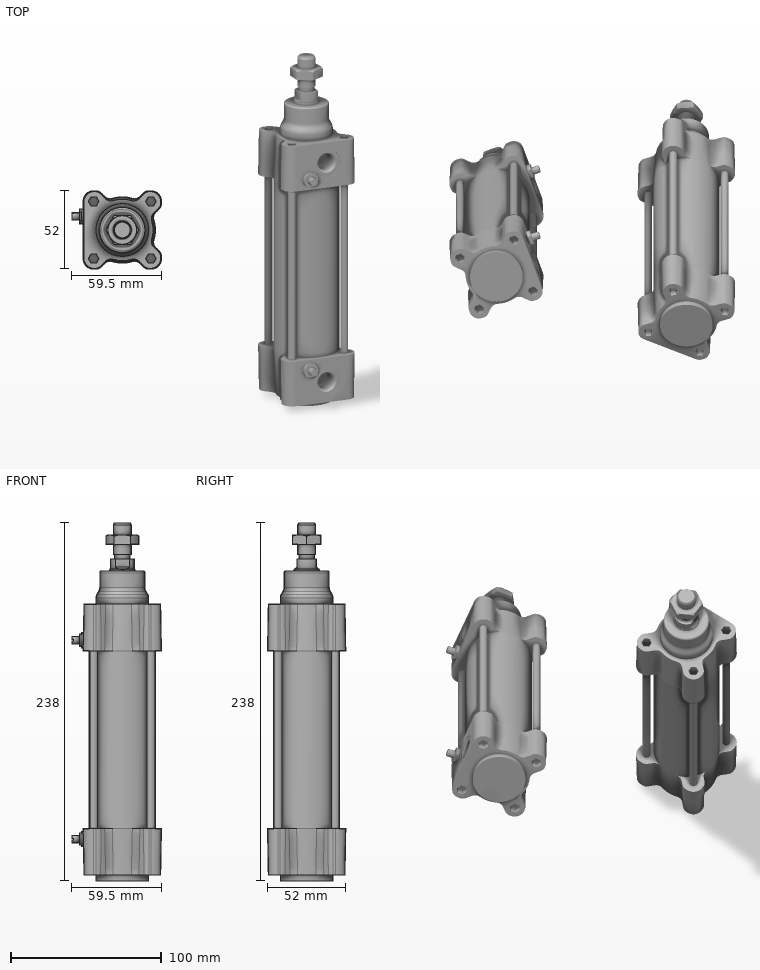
import cadquery as cq
import math


spigot_height = 4.0
cap_height = 31.0
tube_length = 118.0
collar_length = 22.0
rod_tip_z = 238.0
rear_cap_outer_z = spigot_height
rear_cap_inner_z = rear_cap_outer_z + cap_height
front_cap_inner_z = rear_cap_inner_z + tube_length
front_cap_outer_z = front_cap_inner_z + cap_height
collar_top_z = front_cap_outer_z + collar_length

tie_rod_offset = 19.0
cap_half_width = 26.0
cap_draft = 1.0
draft_growth = cap_height * math.tan(math.radians(cap_draft))
cap_outer_half = cap_half_width - draft_growth
lobe_outer_radius = 4.5
lobe_flat = 1.4
waist_fillet = 5.0
drum_outer_radius = 20.4
diagonal = math.sqrt(0.5)

tube_diameter = 44.0
tie_rod_diameter = 5.2
spigot_diameter = 35.0
socket_across_flats = 6.0
socket_depth = 10.0

collar_diameter = 30.0
collar_base_height = 4.0
collar_blend_radius = 5.0
collar_blend_angle = math.radians(30.0)
collar_edge_fillet = 1.2
wiper_lip_base_diameter = 17.2
wiper_lip_tip_diameter = 16.4
wiper_lip_height = 1.2

port_y = -3.5
port_from_outer_face = 14.0
port_diameter = 11.4
port_mouth_diameter = 13.8
port_mouth_depth = 1.2
port_depth = 14.0
spot_face_diameter = 19.0
spot_face_x = -25.3

screw_y = 9.0
screw_from_inner_face = 7.0
screw_tip_x = -33.5
screw_diameter = 5.0
screw_collar_diameter = 10.0
screw_collar_x = -28.5
screw_flats_x = -27.0
screw_across_flats = 8.2
screw_root_x = -24.0
screw_slot_width = 1.0
screw_slot_depth = 1.0

rod_diameter = 16.0
rod_shoulder_z = 214.0
rod_flats = 13.0
rod_flats_bottom_z = 208.6
rod_flats_runout = 1.8
neck_diameter = 10.5
thread_start_z = 217.0
thread_diameter = 12.0
thread_chamfer_height = 1.5
thread_tip_diameter = 10.5

nut_across_flats = 19.0
nut_height = 6.4
nut_bottom_z = 223.6
nut_chamfer_angle = math.radians(30.0)


def cylinder_z(diameter, bottom_z, top_z):
    return cq.Workplane("XY", origin=(0, 0, bottom_z)).circle(diameter / 2).extrude(top_z - bottom_z)


def cylinder_x(diameter, start_x, end_x, y, z):
    return cq.Workplane("YZ", origin=(start_x, y, z)).circle(diameter / 2).extrude(end_x - start_x)


def across_corners(across_flats):
    """Corner diameter of a hexagon with the given width across flats."""
    return across_flats / math.cos(math.pi / 6)


def draw_cap_outline(sketch, half, lobe_radius, drum_radius):
    """Draw a cap section: lobed corners, three waisted sides and a flat -X side.

    Each waisted side is an arc around the Z axis, joined by concave fillets to the 45 degree
    flanks of the corner lobes.
    """
    corner = tie_rod_offset
    corner_mid = corner + (half - corner) * diagonal

    flat_end = corner - lobe_flat
    shoulder_centre = half - lobe_radius
    shoulder_mid_along = flat_end - lobe_radius * math.sin(math.pi / 8)
    shoulder_mid_out = shoulder_centre + lobe_radius * math.cos(math.pi / 8)
    flank_along = flat_end - lobe_radius * diagonal
    flank_out = shoulder_centre + lobe_radius * diagonal

    centre_lead = flank_out - flank_along + waist_fillet / diagonal
    centre_distance = drum_radius + waist_fillet
    centre_along = (math.sqrt(2 * centre_distance**2 - centre_lead**2) - centre_lead) / 2
    centre_out = centre_along + centre_lead
    root_along = centre_along + waist_fillet * diagonal
    root_out = centre_out - waist_fillet * diagonal
    drum_along = centre_along * drum_radius / centre_distance
    drum_out = centre_out * drum_radius / centre_distance
    fillet_mid_angle = (math.atan2(-centre_out, -centre_along) - math.pi / 4) / 2
    fillet_mid_along = centre_along + waist_fillet * math.cos(fillet_mid_angle)
    fillet_mid_out = centre_out + waist_fillet * math.sin(fillet_mid_angle)

    def waisted_side(path, turn):
        """Add one waisted side; turn maps (along, outward) to the plane."""
        path = path.lineTo(*turn(-flat_end, half))
        path = path.threePointArc(turn(-shoulder_mid_along, shoulder_mid_out), turn(-flank_along, flank_out))
        path = path.lineTo(*turn(-root_along, root_out))
        path = path.threePointArc(turn(-fillet_mid_along, fillet_mid_out), turn(-drum_along, drum_out))
        path = path.threePointArc(turn(0, drum_radius), turn(drum_along, drum_out))
        path = path.threePointArc(turn(fillet_mid_along, fillet_mid_out), turn(root_along, root_out))
        path = path.lineTo(*turn(flank_along, flank_out))
        path = path.threePointArc(turn(shoulder_mid_along, shoulder_mid_out), turn(flat_end, half))
        path = path.lineTo(*turn(corner, half))
        return path.threePointArc(turn(corner_mid, corner_mid), turn(half, corner))

    path = sketch.moveTo(-half, -corner)
    path = path.threePointArc((-corner_mid, -corner_mid), (-corner, -half))
    path = waisted_side(path, lambda along, out: (along, -out))
    path = waisted_side(path, lambda along, out: (out, along))
    path = waisted_side(path, lambda along, out: (-along, out))
    return path.close()


def make_cap():
    """Cap with its outer face at Z = 0, widening by the draft towards its inner face."""
    outer_face = draw_cap_outline(cq.Workplane("XY"), cap_outer_half, lobe_outer_radius, drum_outer_radius)
    cap = draw_cap_outline(
        outer_face.workplane(offset=cap_height),
        cap_half_width,
        lobe_outer_radius + draft_growth,
        tube_diameter / 2,
    ).loft(ruled=True)
    sockets = (
        cq.Workplane("XY")
        .rect(2 * tie_rod_offset, 2 * tie_rod_offset, forConstruction=True)
        .vertices()
        .polygon(6, across_corners(socket_across_flats))
        .extrude(socket_depth)
    )
    return cap.cut(sockets)


def port_cut(z):
    bore = cylinder_x(port_diameter, spot_face_x, spot_face_x + port_depth, port_y, z)
    spot_face = cylinder_x(spot_face_diameter, -cap_half_width, spot_face_x, port_y, z)
    mouth = (
        cq.Workplane("YZ", origin=(spot_face_x, port_y, z))
        .circle(port_mouth_diameter / 2)
        .workplane(offset=port_mouth_depth)
        .circle(port_diameter / 2)
        .loft()
    )
    return bore.union(spot_face).union(mouth)


def cushion_screw(z):
    base = cylinder_x(screw_collar_diameter, screw_flats_x, screw_root_x, screw_y, z)
    flats_length = screw_flats_x - screw_collar_x
    head = cylinder_x(screw_collar_diameter, screw_collar_x, screw_flats_x, screw_y, z).intersect(
        cq.Workplane("XY", origin=(screw_collar_x + flats_length / 2, screw_y, z)).box(
            flats_length, screw_collar_diameter, screw_across_flats
        )
    )
    shank = cylinder_x(screw_diameter, screw_tip_x, screw_collar_x, screw_y, z)
    slot = cq.Workplane("XY", origin=(screw_tip_x + screw_slot_depth / 2, screw_y, z)).box(
        screw_slot_depth, screw_diameter, screw_slot_width
    )
    return base.union(head).union(shank.cut(slot))


def make_collar():
    """Front collar: a spigot blending through a tangent S-curve into a narrower neck."""
    spigot_radius = spigot_diameter / 2
    neck_radius = collar_diameter / 2
    arc_run = collar_blend_radius * (1 - math.cos(collar_blend_angle))
    arc_rise = collar_blend_radius * math.sin(collar_blend_angle)
    mid_run = collar_blend_radius * (1 - math.cos(collar_blend_angle / 2))
    mid_rise = collar_blend_radius * math.sin(collar_blend_angle / 2)
    cone_rise = (spigot_radius - neck_radius - 2 * arc_run) / math.tan(collar_blend_angle)
    blend_start = front_cap_outer_z + collar_base_height
    blend_end = blend_start + 2 * arc_rise + cone_rise
    return (
        cq.Workplane("XZ")
        .moveTo(0, front_cap_outer_z)
        .lineTo(spigot_radius, front_cap_outer_z)
        .lineTo(spigot_radius, blend_start)
        .threePointArc(
            (spigot_radius - mid_run, blend_start + mid_rise),
            (spigot_radius - arc_run, blend_start + arc_rise),
        )
        .lineTo(neck_radius + arc_run, blend_end - arc_rise)
        .threePointArc((neck_radius + mid_run, blend_end - mid_rise), (neck_radius, blend_end))
        .lineTo(neck_radius, collar_top_z)
        .lineTo(0, collar_top_z)
        .close()
        .revolve(360, (0, 0), (0, 1))
        .faces(">Z")
        .edges()
        .fillet(collar_edge_fillet)
    )


def wiper_lip():
    """Short tapered lip that closes around the rod on top of the collar."""
    return (
        cq.Workplane("XY", origin=(0, 0, collar_top_z))
        .circle(wiper_lip_base_diameter / 2)
        .workplane(offset=wiper_lip_height)
        .circle(wiper_lip_tip_diameter / 2)
        .loft()
    )


def make_housing():
    cap = make_cap()
    rear_cap = cap.translate((0, 0, rear_cap_outer_z))
    front_cap = cap.mirror("XY").translate((0, 0, front_cap_outer_z))
    housing = cylinder_z(tube_diameter, rear_cap_inner_z, front_cap_inner_z)
    housing = housing.union(rear_cap).union(front_cap)
    housing = housing.union(cylinder_z(spigot_diameter, 0, rear_cap_outer_z))
    housing = housing.union(make_collar()).union(wiper_lip())
    tie_rods = (
        cq.Workplane("XY", origin=(0, 0, rear_cap_inner_z))
        .rect(2 * tie_rod_offset, 2 * tie_rod_offset, forConstruction=True)
        .vertices()
        .circle(tie_rod_diameter / 2)
        .extrude(tube_length)
    )
    housing = housing.union(tie_rods)
    for outer_z, inner_z, inward in (
        (rear_cap_outer_z, rear_cap_inner_z, 1),
        (front_cap_outer_z, front_cap_inner_z, -1),
    ):
        housing = housing.cut(port_cut(outer_z + inward * port_from_outer_face))
        housing = housing.union(cushion_screw(inner_z - inward * screw_from_inner_face))
    return housing.cut(cylinder_z(rod_diameter, front_cap_inner_z, collar_top_z + wiper_lip_height))


def make_rod():
    shaft = cylinder_z(rod_diameter, front_cap_inner_z, rod_shoulder_z)
    runout_bottom_z = rod_flats_bottom_z - rod_flats_runout
    for side in (-1, 1):
        flat_cut = (
            cq.Workplane("YZ")
            .polyline([
                (side * rod_flats / 2, rod_shoulder_z),
                (side * rod_flats / 2, rod_flats_bottom_z),
                (side * rod_diameter / 2, runout_bottom_z),
                (side * rod_diameter, runout_bottom_z),
                (side * rod_diameter, rod_shoulder_z),
            ])
            .close()
            .extrude(rod_diameter / 2, both=True)
        )
        shaft = shaft.cut(flat_cut)
    neck = cylinder_z(neck_diameter, rod_shoulder_z, thread_start_z)
    chamfer_z = rod_tip_z - thread_chamfer_height
    thread = cylinder_z(thread_diameter, thread_start_z, chamfer_z)
    tip = (
        cq.Workplane("XY", origin=(0, 0, chamfer_z))
        .circle(thread_diameter / 2)
        .workplane(offset=thread_chamfer_height)
        .circle(thread_tip_diameter / 2)
        .loft()
    )
    return shaft.union(neck).union(thread).union(tip)


def make_nut():
    """Hexagon nut with corners on X, chamfered at the upper end."""
    corner_radius = across_corners(nut_across_flats) / 2
    flat_radius = nut_across_flats / 2
    chamfer_height = (corner_radius - flat_radius) * math.tan(nut_chamfer_angle)
    blank = cq.Workplane("XY").polygon(6, 2 * corner_radius).extrude(nut_height)
    envelope = (
        cq.Workplane("XZ")
        .polyline([
            (0, 0),
            (corner_radius, 0),
            (corner_radius, nut_height - chamfer_height),
            (flat_radius, nut_height),
            (0, nut_height),
        ])
        .close()
        .revolve(360, (0, 0), (0, 1))
    )
    nut = blank.intersect(envelope).translate((0, 0, nut_bottom_z))
    return nut.cut(cylinder_z(thread_diameter, nut_bottom_z, nut_bottom_z + nut_height))


housing = make_housing()
rod = make_rod()
nut = make_nut()

result = cq.Compound.makeCompound([housing.val(), rod.val(), nut.val()])